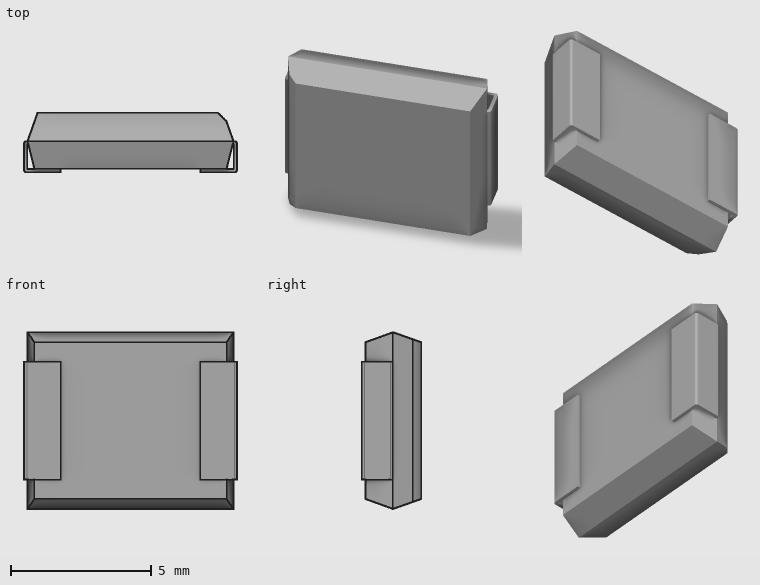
import cadquery as cq

OVERALL_LENGTH = 7.6
OVERALL_DEPTH = 2.13
BODY_WIDTH = 6.3

LEAD_THICKNESS = 0.13
LEAD_WIDTH = 4.2
FOOT_LENGTH = 1.31
BEND_RADIUS = 0.1

BACK_DEPTH = 1.01
BACK_INSET = 0.36
FRONT_END_INSET = 0.24
FRONT_SIDE_INSET = 0.36
BEVEL_SIZE = 0.305

HALF_LENGTH = OVERALL_LENGTH / 2
BODY_LENGTH = OVERALL_LENGTH - 2 * LEAD_THICKNESS
BACK_Y = OVERALL_DEPTH / 2
PARTING_Y = BACK_Y - BACK_DEPTH
FOOT_Y = -OVERALL_DEPTH / 2
FRONT_Y = FOOT_Y + LEAD_THICKNESS
FRONT_DEPTH = PARTING_Y - FRONT_Y


def tapered_half(end_y, end_inset, side_inset):
    """Loft from the parting outline to a smaller rectangle at end_y."""
    return (
        cq.Workplane("XZ", origin=(0, PARTING_Y, 0))
        .rect(BODY_LENGTH, BODY_WIDTH)
        .workplane(offset=PARTING_Y - end_y)
        .rect(BODY_LENGTH - 2 * end_inset, BODY_WIDTH - 2 * side_inset)
        .loft(ruled=True, combine=True)
    )


def make_back_half():
    """Back half with a 45 degree polarity bevel along its +X end."""
    half = tapered_half(BACK_Y, BACK_INSET, BACK_INSET)
    bevel_low_y = BACK_Y - BEVEL_SIZE
    bevel_low_x = BODY_LENGTH / 2 - BACK_INSET * (BACK_DEPTH - BEVEL_SIZE) / BACK_DEPTH
    bevel = (
        cq.Workplane("XY")
        .moveTo(bevel_low_x, bevel_low_y)
        .lineTo(bevel_low_x - BEVEL_SIZE, BACK_Y)
        .lineTo(bevel_low_x, BACK_Y)
        .close()
        .extrude(BODY_WIDTH / 2, both=True)
    )
    return half.cut(bevel)


def make_front_half():
    """Front half, which rests on the feet of the leads."""
    return tapered_half(FRONT_Y, FRONT_END_INSET, FRONT_SIDE_INSET)


def make_lead(side):
    """C-shaped lead at the +X (side = 1) or -X (side = -1) end."""
    inner_x = HALF_LENGTH - LEAD_THICKNESS
    tab_y = PARTING_Y - LEAD_THICKNESS
    tab_end_x = inner_x - FRONT_END_INSET * LEAD_THICKNESS / FRONT_DEPTH
    outline = [
        (inner_x, PARTING_Y),
        (HALF_LENGTH, PARTING_Y),
        (HALF_LENGTH, FOOT_Y),
        (HALF_LENGTH - FOOT_LENGTH, FOOT_Y),
        (HALF_LENGTH - FOOT_LENGTH, FRONT_Y),
        (inner_x, FRONT_Y),
        (inner_x, tab_y),
        (tab_end_x, tab_y),
    ]
    return (
        cq.Workplane("XY")
        .polyline([(side * x, y) for x, y in outline])
        .close()
        .extrude(LEAD_WIDTH / 2, both=True)
        .edges("|Z")
        .edges(">X" if side > 0 else "<X")
        .fillet(BEND_RADIUS)
    )


back_half = make_back_half()
front_half = make_front_half()
leads = [make_lead(side) for side in (-1, 1)]

result = cq.Compound.makeCompound(
    [back_half.val(), front_half.val(), *[lead.val() for lead in leads]]
)